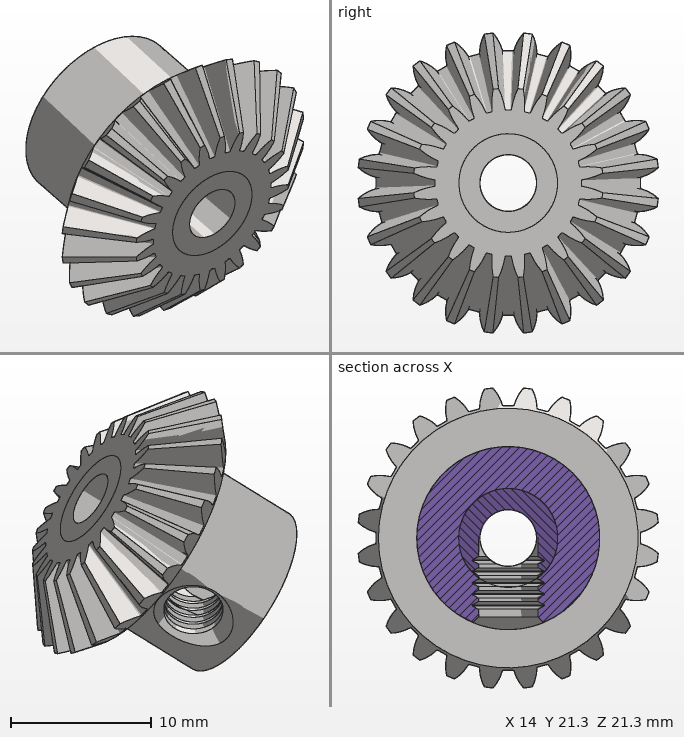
import cadquery as cq
import math

tooth_count = 24
module = 0.84
pressure_angle = math.radians(20)
pitch_cone_angle = math.radians(45)
pitch_radius = tooth_count * module / 2
addendum = 0.88
dedendum = 0.97
root_fillet = 0.12

hub_x = 0.5
flange_x = 9.0
gear_front_x = 14.0
apex_x = 19.95

bushing_radius = 3.5
hub_radius = 6.5
bore_radius = 2.0

tapped_hole_x = 4.75
thread_pitch = 0.8
thread_minor_radius = 2.1
thread_major_radius = 2.54
thread_root_width = 0.06
thread_mouth_width = 0.54
first_groove_z = -1.58
countersink_radius = 3.0

pitch_x = apex_x - pitch_radius / math.tan(pitch_cone_angle)
virtual_pitch_radius = pitch_radius / math.cos(pitch_cone_angle)
virtual_base_radius = virtual_pitch_radius * math.cos(pressure_angle)
virtual_tip_radius = virtual_pitch_radius + addendum
virtual_root_radius = virtual_pitch_radius - dedendum


def back_cone_point(virtual_radius):
    """Axial position and radius of a point on the back cone."""
    radius = virtual_radius * math.cos(pitch_cone_angle)
    x = pitch_x + (virtual_radius - virtual_pitch_radius) * math.sin(pitch_cone_angle)
    return x, radius


def involute(angle):
    return math.tan(angle) - angle


def tooth_half_angle(virtual_radius):
    """Half the angle a tooth fills about the gear axis, from the involute on the unrolled back cone."""
    roll_angle = math.acos(min(1, virtual_base_radius / virtual_radius))
    pitch_half_angle = math.pi * module / (4 * virtual_pitch_radius)
    half_angle = pitch_half_angle + involute(pressure_angle) - involute(roll_angle)
    return half_angle / math.cos(pitch_cone_angle)


def gap_point(virtual_radius, section_x):
    """Point on the +Y flank of the gap centred on +Z, carried towards the apex to the plane at section_x."""
    x, radius = back_cone_point(virtual_radius)
    section_radius = radius * (apex_x - section_x) / (apex_x - x)
    angle = math.pi / tooth_count - tooth_half_angle(virtual_radius)
    return section_radius * math.sin(angle), section_radius * math.cos(angle)


def gap_wire(section_x):
    """Outline of one tooth gap in the plane at section_x, each flank an arc through three involute points."""
    virtual_end_radius = virtual_tip_radius + addendum / 2
    virtual_middle_radius = (virtual_base_radius + virtual_end_radius) / 2
    base_y, base_z = gap_point(virtual_base_radius, section_x)
    middle_y, middle_z = gap_point(virtual_middle_radius, section_x)
    end_y, end_z = gap_point(virtual_end_radius, section_x)
    root_y, root_z = gap_point(virtual_root_radius, section_x)
    scale = (apex_x - section_x) / (apex_x - pitch_x)
    fillet = root_fillet * scale
    corner = fillet * (1 - math.sqrt(0.5))
    return (
        cq.Workplane("YZ", origin=(section_x, 0, 0))
        .moveTo(-root_y + fillet, root_z)
        .lineTo(root_y - fillet, root_z)
        .threePointArc((root_y - corner, root_z + corner), (root_y, root_z + fillet))
        .lineTo(base_y, base_z)
        .threePointArc((middle_y, middle_z), (end_y, end_z))
        .lineTo(-end_y, end_z)
        .threePointArc((-middle_y, middle_z), (-base_y, base_z))
        .lineTo(-root_y, root_z + fillet)
        .threePointArc((-root_y + corner, root_z + corner), (-root_y + fillet, root_z))
        .wire().val()
    )


def gear_blank():
    """Hub and toothed cone before the gaps are cut, turned about X, with a bore for the bushing."""
    tip_x, tip_radius = back_cone_point(virtual_tip_radius)
    front_tip_radius = tip_radius * (apex_x - gear_front_x) / (apex_x - tip_x)
    flange_radius = tip_radius - (tip_x - flange_x) / math.tan(pitch_cone_angle)
    return (
        cq.Workplane("XY")
        .moveTo(hub_x, bushing_radius)
        .lineTo(hub_x, hub_radius)
        .lineTo(flange_x, hub_radius)
        .lineTo(flange_x, flange_radius)
        .lineTo(tip_x, tip_radius)
        .lineTo(gear_front_x, front_tip_radius)
        .lineTo(gear_front_x, bushing_radius)
        .close()
        .revolve(360, (0, 0, 0), (1, 0, 0))
    )


def tapped_hole():
    """Cutter from the bore axis out through -Z: a drilled hole, ring grooves for the thread and a countersink."""
    outer_z = -hub_radius
    countersink_z = outer_z + countersink_radius - thread_minor_radius
    last_groove_z = countersink_z + thread_mouth_width / 2
    groove_count = math.floor((first_groove_z - last_groove_z) / thread_pitch) + 1
    profile = (
        cq.Workplane("XZ", origin=(tapped_hole_x, 0, 0))
        .moveTo(0, 0)
        .lineTo(thread_minor_radius, 0)
    )
    for i in range(groove_count):
        groove_z = first_groove_z - i * thread_pitch
        profile = (
            profile.lineTo(thread_minor_radius, groove_z + thread_mouth_width / 2)
            .lineTo(thread_major_radius, groove_z + thread_root_width / 2)
            .lineTo(thread_major_radius, groove_z - thread_root_width / 2)
            .lineTo(thread_minor_radius, groove_z - thread_mouth_width / 2)
        )
    return (
        profile.lineTo(thread_minor_radius, countersink_z)
        .lineTo(countersink_radius, outer_z)
        .lineTo(0, outer_z)
        .close()
        .revolve(360, (0, 0, 0), (0, 1, 0))
    )


def tooth_gaps():
    """All the gaps between the teeth, spaced evenly about X."""
    margin = 0.5
    gap = cq.Solid.makeLoft([gap_wire(flange_x - margin), gap_wire(gear_front_x + margin)], True)
    axis_start = cq.Vector(0, 0, 0)
    axis_end = cq.Vector(1, 0, 0)
    step = 360 / tooth_count
    gaps = [gap.rotate(axis_start, axis_end, i * step) for i in range(tooth_count)]
    return cq.Workplane(cq.Compound.makeCompound(gaps))


def bevel_gear():
    """Hub and teeth in one piece, with the tapped hole through the hub wall."""
    return gear_blank().cut(tooth_gaps()).cut(tapped_hole())


def bushing():
    """Sleeve through the gear, standing proud of the hub at the rear and flush with the gear at the front."""
    sleeve = cq.Workplane("YZ").circle(bushing_radius).circle(bore_radius).extrude(gear_front_x)
    return sleeve.cut(tapped_hole())


gear = bevel_gear()
sleeve = bushing()
result = cq.Compound.makeCompound([gear.solids().val(), sleeve.solids().val()])